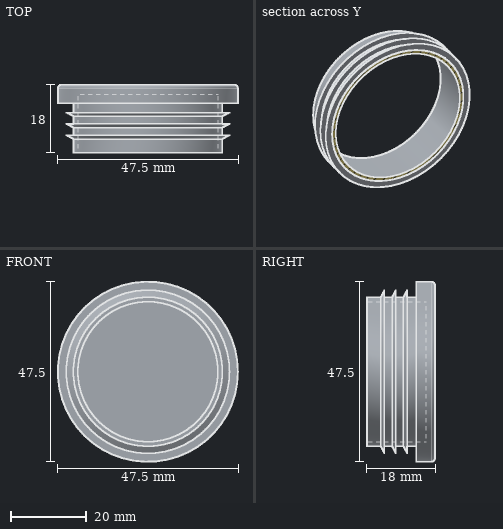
import cadquery as cq

head_diameter = 47.5
head_thickness = 5.0
head_rounding = 1.0
total_length = 18.0

sleeve_diameter = 39.3
sleeve_bore = 36.9
floor_thickness = 2.5

fin_diameter = 43.05
fin_thickness = 1.0
fin_count = 3
fin_pitch = 3.0
first_fin_gap = 2.38

sleeve_length = total_length - head_thickness
bore_depth = total_length - floor_thickness


def disc(diameter, start, length):
    """Solid cylinder on the Y axis, running from y = start toward -Y."""
    return cq.Workplane("XZ", origin=(0, start, 0)).circle(diameter / 2).extrude(length)


def fin(flat_face):
    """Ring with a flat face toward the head and a cone toward the open end."""
    core_radius = sleeve_bore / 2 + (sleeve_diameter - sleeve_bore) / 4
    root_radius = sleeve_diameter / 2
    profile = [
        (core_radius, flat_face),
        (fin_diameter / 2, flat_face),
        (root_radius, flat_face - fin_thickness),
        (core_radius, flat_face - fin_thickness),
    ]
    return cq.Workplane("XY").polyline(profile).close().revolve(360, (0, 0, 0), (0, 1, 0))


head = disc(head_diameter, head_thickness, head_thickness).faces(">Y").edges().fillet(head_rounding)

sleeve = disc(sleeve_diameter, 0, sleeve_length)
bore = disc(sleeve_bore, bore_depth - sleeve_length, bore_depth)
result = head.union(sleeve).cut(bore)

for index in range(fin_count):
    result = result.union(fin(-first_fin_gap - index * fin_pitch))